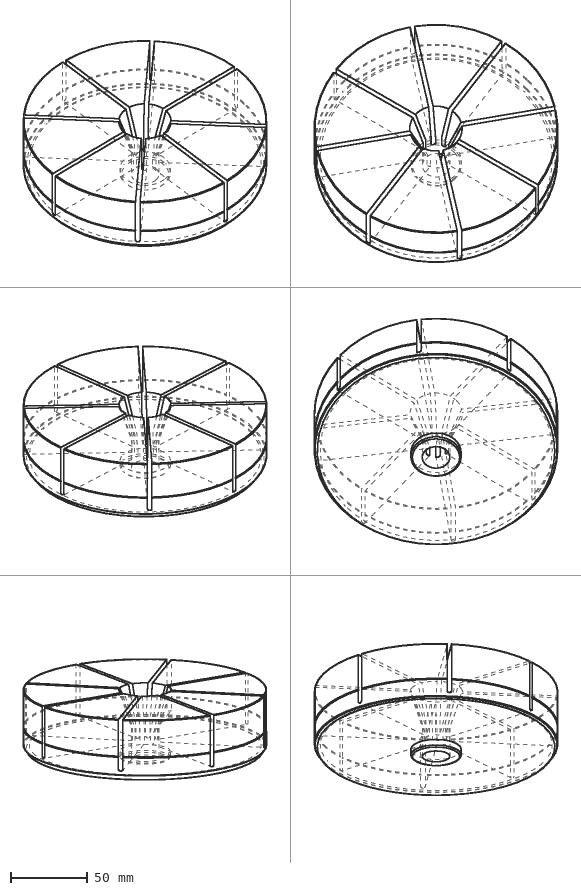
import cadquery as cq

FULL_TURN = 360.0

HUB_HEIGHT = 5.0
FLANGE_HEIGHT = 3.5
LOWER_DISC_HEIGHT = 12.5
UPPER_DISC_HEIGHT = 25.5

FLANGE_Z = HUB_HEIGHT
LOWER_DISC_Z = FLANGE_Z + FLANGE_HEIGHT
UPPER_DISC_Z = LOWER_DISC_Z + LOWER_DISC_HEIGHT
TOP_Z = UPPER_DISC_Z + UPPER_DISC_HEIGHT

DISC_RADIUS = 80.0
FLANGE_RADIUS = 78.0
HUB_RADIUS = 16.5
DISC_CHAMFER = 0.5
SEAM_CHAMFER = 0.2
FLANGE_ROUNDING = FLANGE_HEIGHT / 2
HUB_CHAMFER = 1.0

BORE_RADIUS = 9.0
FUNNEL_RADIUS = 17.2
FUNNEL_DEPTH = UPPER_DISC_HEIGHT

SLOT_COUNT = 8
SLOT_WIDTH = 3.0
SLOT_DEPTH = 35.0
SLOT_PITCH = FULL_TURN / SLOT_COUNT
FIRST_SLOT_ANGLE = SLOT_PITCH / 2


def disc(radius, bottom_z, height):
    return cq.Workplane("XY").workplane(offset=bottom_z).circle(radius).extrude(height)


def make_flange():
    """Thin disc whose rim is a full half-round."""
    core_radius = FLANGE_RADIUS - FLANGE_ROUNDING
    return (
        cq.Workplane("XZ")
        .moveTo(0, FLANGE_Z)
        .lineTo(core_radius, FLANGE_Z)
        .threePointArc((FLANGE_RADIUS, FLANGE_Z + FLANGE_ROUNDING), (core_radius, LOWER_DISC_Z))
        .lineTo(0, LOWER_DISC_Z)
        .close()
        .revolve(FULL_TURN, (0, 0, 0), (0, 1, 0))
    )


def make_body():
    hub = disc(HUB_RADIUS, 0, HUB_HEIGHT).faces("<Z").chamfer(HUB_CHAMFER)
    flange = make_flange()
    lower_disc = (
        disc(DISC_RADIUS, LOWER_DISC_Z, LOWER_DISC_HEIGHT)
        .faces("<Z")
        .chamfer(DISC_CHAMFER)
        .faces(">Z")
        .chamfer(SEAM_CHAMFER)
    )
    upper_disc = disc(DISC_RADIUS, UPPER_DISC_Z, UPPER_DISC_HEIGHT).edges().chamfer(DISC_CHAMFER)
    return hub.union(flange).union(lower_disc).union(upper_disc)


def make_central_opening():
    funnel_bottom_z = TOP_Z - FUNNEL_DEPTH
    return (
        cq.Workplane("XZ")
        .moveTo(0, 0)
        .lineTo(BORE_RADIUS, 0)
        .lineTo(BORE_RADIUS, funnel_bottom_z)
        .lineTo(FUNNEL_RADIUS, TOP_Z)
        .lineTo(0, TOP_Z)
        .close()
        .revolve(FULL_TURN, (0, 0, 0), (0, 1, 0))
    )


def make_slot(angle):
    """Slot running from the axis out past the rim, at the given angle about Z."""
    half_width = SLOT_WIDTH / 2
    floor_z = TOP_Z - SLOT_DEPTH
    return (
        cq.Workplane("YZ")
        .moveTo(-half_width, TOP_Z)
        .lineTo(-half_width, floor_z + half_width)
        .threePointArc((0, floor_z), (half_width, floor_z + half_width))
        .lineTo(half_width, TOP_Z)
        .close()
        .extrude(DISC_RADIUS + SLOT_WIDTH)
        .rotate((0, 0, 0), (0, 0, 1), angle)
    )


result = make_body().cut(make_central_opening())
for slot_index in range(SLOT_COUNT):
    slot_angle = FIRST_SLOT_ANGLE + slot_index * SLOT_PITCH
    result = result.cut(make_slot(slot_angle))